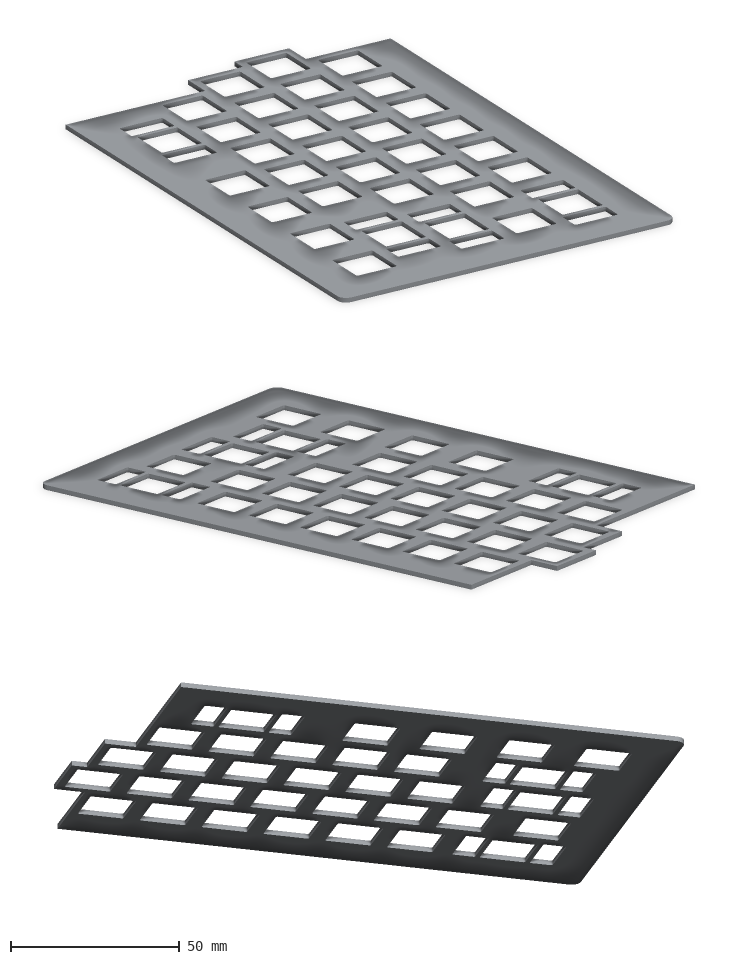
import cadquery as cq

UNIT = 19.05
THICKNESS = 1.5
PLATE_WIDTH = 169.99
PLATE_DEPTH = 116.2
CORNER_RADIUS = 3.0

SWITCH_SIZE = 14.0
CUTOUT_RADIUS = 0.5

STABILIZER_WIDTH = 7.0
STABILIZER_DEPTH = 15.0
STABILIZER_SPREAD = 11.938
STABILIZER_DROP = (STABILIZER_DEPTH - SWITCH_SIZE) / 2
STABILIZED_KEY = 2.0

ROWS = [
    (0.50, [1, 1, 1, 1, 1, 1, 2]),
    (0.00, [1, 1, 1, 1, 1, 1, 1, 1.5]),
    (0.25, [1, 1, 1, 1, 1, 1, 2.25]),
    (0.75, [1, 1, 1, 1, 1, 2.75]),
    (0.75, [2.75, 1.25, 1.25, 1.25, 1.25]),
]

LEFT = -PLATE_WIDTH / 2
RIGHT = PLATE_WIDTH / 2
BACK = PLATE_DEPTH / 2
FRONT = -PLATE_DEPTH / 2
KEYS_BACK = len(ROWS) * UNIT / 2


def row_center_y(row):
    return KEYS_BACK - (row + 0.5) * UNIT


def key_places():
    """Yield the centre x, centre y and width in units of every key."""
    for row, (indent, widths) in enumerate(ROWS):
        key_left = indent
        for width in widths:
            yield LEFT + (key_left + width / 2) * UNIT, row_center_y(row), width
            key_left += width


def plate_blank():
    """Plate whose left edge steps in and out with the start of each key row."""
    points = [(RIGHT, FRONT), (RIGHT, BACK)]
    previous_indent = ROWS[0][0]
    points.append((LEFT + previous_indent * UNIT, BACK))
    for row, (indent, _) in enumerate(ROWS):
        if indent != previous_indent:
            step_y = KEYS_BACK - row * UNIT
            points.append((LEFT + previous_indent * UNIT, step_y))
            points.append((LEFT + indent * UNIT, step_y))
            previous_indent = indent
    points.append((LEFT + previous_indent * UNIT, FRONT))
    blank = cq.Workplane("XY").polyline(points).close().extrude(THICKNESS)
    return blank.edges("|Z and >X").fillet(CORNER_RADIUS)


def cutters(centers, width, depth):
    """Rounded rectangular through-cutters at the given centres."""
    blocks = cq.Workplane("XY").pushPoints(centers).rect(width, depth).extrude(THICKNESS)
    return blocks.edges("|Z").fillet(CUTOUT_RADIUS)


def switch_cutters():
    centers = [(x, y) for x, y, _ in key_places()]
    return cutters(centers, SWITCH_SIZE, SWITCH_SIZE)


def stabilizer_cutters():
    centers = []
    for x, y, width in key_places():
        if width >= STABILIZED_KEY:
            for side in (-1, 1):
                centers.append((x + side * STABILIZER_SPREAD, y - STABILIZER_DROP))
    return cutters(centers, STABILIZER_WIDTH, STABILIZER_DEPTH)


result = plate_blank().cut(switch_cutters()).cut(stabilizer_cutters())